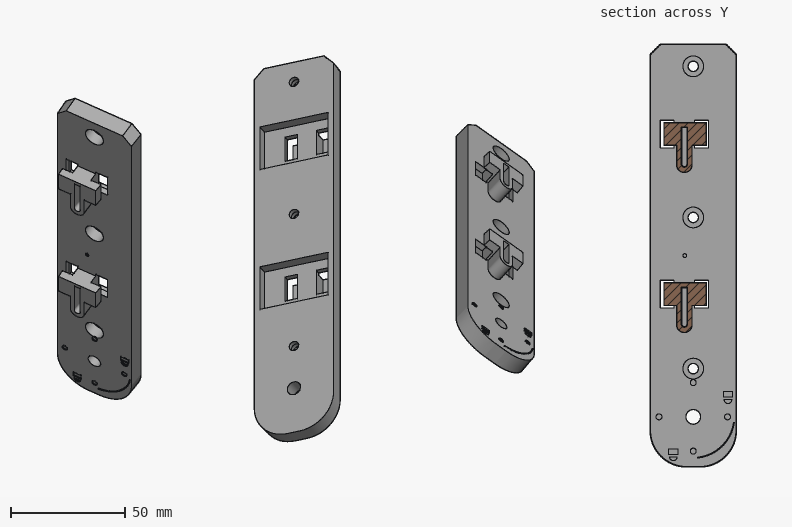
import cadquery as cq
import math

plate_length = 185.0
plate_width = 38.0
plate_thickness = 8.0
plate_draft = 2.0
top_chamfer = 4.6
bottom_corner_radius = 16.1

screw_hole_diameter = 4.5
screw_head_diameter = 9.0
screw_head_depth = 5.5
lowest_screw_z = 43.1
screw_pitch = 66.0
screw_count = 3

pivot_z = 22.0
pivot_diameter = 6.3
dimple_circle_radius = 15.0
dimple_diameter = 2.5
dimple_count = 4
groove_radius = 18.0
groove_width = 0.4
groove_start_angle = -84.0
groove_end_angle = -8.0
mark_depth = 0.5

locating_hole_diameter = 1.7
locating_hole_x = -3.7
locating_hole_z = plate_length / 2

mark_width = 4.0
mark_height = 2.4
mark_disc_radius = 1.7
mark_gap = 1.1
mark_positions = [(15.2, 31.8), (-8.7, 6.8)]

hook_x = -3.9
lower_hook_z = 75.7
hook_pitch = 70.0
hook_count = 2
hook_reach = 8.3
head_width = 19.2
head_front_width = 18.7
head_height = 10.0
head_left_thickness = 3.7
head_right_thickness = 4.3
neck_width = 9.0
stem_width = 6.8
stem_drop = 16.8
slot_width = 3.0
slot_top = 3.1
slot_bottom = -14.6
slot_depth = 7.4
slot_draft = 3.0
window_width = 20.9
window_height = 12.0

front_wall = 2.8
recess_width = 32.5
recess_height = 21.3


def front_plane(x, z, y=0.0):
    """Sketch plane parallel to the front face, with its normal pointing to -Y."""
    return cq.Workplane(cq.Plane(origin=(x, y, z), xDir=(1, 0, 0), normal=(0, -1, 0)))


def make_plate():
    half_width = plate_width / 2
    corner_middle = bottom_corner_radius * math.sin(math.radians(45))
    corner_x = half_width - bottom_corner_radius
    corner_z = bottom_corner_radius
    return (
        front_plane(0, 0, plate_thickness)
        .moveTo(-corner_x, 0)
        .lineTo(corner_x, 0)
        .threePointArc((corner_x + corner_middle, corner_z - corner_middle), (half_width, corner_z))
        .lineTo(half_width, plate_length - top_chamfer)
        .lineTo(half_width - top_chamfer, plate_length)
        .lineTo(top_chamfer - half_width, plate_length)
        .lineTo(-half_width, plate_length - top_chamfer)
        .lineTo(-half_width, corner_z)
        .threePointArc((-corner_x - corner_middle, corner_z - corner_middle), (-corner_x, 0))
        .close()
        .extrude(plate_thickness, taper=plate_draft)
    )


def cut_screw_holes(plate):
    for index in range(screw_count):
        z = lowest_screw_z + index * screw_pitch
        drill = front_plane(0, z).circle(screw_hole_diameter / 2).extrude(-plate_thickness)
        counterbore = front_plane(0, z).circle(screw_head_diameter / 2).extrude(-screw_head_depth)
        plate = plate.cut(drill).cut(counterbore)
    return plate


def cut_pivot_features(plate):
    plate = plate.cut(front_plane(0, pivot_z).circle(pivot_diameter / 2).extrude(-plate_thickness))
    dimples = (
        front_plane(0, pivot_z)
        .polarArray(dimple_circle_radius, 0, 360, dimple_count)
        .circle(dimple_diameter / 2)
        .extrude(-mark_depth)
    )
    return plate.cut(dimples).cut(make_arc_groove())


def make_arc_groove():
    def polar(radius, angle):
        turn = math.radians(angle)
        return radius * math.cos(turn), radius * math.sin(turn)

    inner = groove_radius - groove_width / 2
    outer = groove_radius + groove_width / 2
    middle_angle = (groove_start_angle + groove_end_angle) / 2
    return (
        front_plane(0, pivot_z)
        .moveTo(*polar(inner, groove_start_angle))
        .threePointArc(polar(inner, middle_angle), polar(inner, groove_end_angle))
        .lineTo(*polar(outer, groove_end_angle))
        .threePointArc(polar(outer, middle_angle), polar(outer, groove_start_angle))
        .close()
        .extrude(-mark_depth)
    )


def cut_marks(plate):
    hole = front_plane(locating_hole_x, locating_hole_z)
    plate = plate.cut(hole.circle(locating_hole_diameter / 2).extrude(-mark_depth))
    disc_z = -mark_height / 2 - mark_gap
    for x, z in mark_positions:
        rectangle = front_plane(x, z).rect(mark_width, mark_height).extrude(-mark_depth)
        half_disc = (
            front_plane(x, z)
            .moveTo(-mark_disc_radius, disc_z)
            .threePointArc((0, disc_z - mark_disc_radius), (mark_disc_radius, disc_z))
            .close()
            .extrude(-mark_depth)
        )
        plate = plate.cut(rectangle).cut(half_disc)
    return plate


def make_hook(z):
    head_section = [
        (-head_width / 2, head_left_thickness - hook_reach),
        (head_width / 2, head_right_thickness - hook_reach),
        (head_front_width / 2, -hook_reach),
        (-head_front_width / 2, -hook_reach),
    ]
    head = (
        cq.Workplane("XY", origin=(hook_x, 0, z - head_height / 2))
        .polyline(head_section)
        .close()
        .extrude(head_height)
    )
    neck = front_plane(hook_x, z).rect(neck_width, head_height).extrude(hook_reach - head_left_thickness)
    stem_radius = stem_width / 2
    arc_z = stem_radius - stem_drop
    stem = (
        front_plane(hook_x, z)
        .moveTo(-stem_radius, 0)
        .lineTo(-stem_radius, arc_z)
        .threePointArc((0, -stem_drop), (stem_radius, arc_z))
        .lineTo(stem_radius, 0)
        .close()
        .extrude(hook_reach)
    )
    return head.union(neck).union(stem)


def make_hook_slot(z):
    slot_radius = slot_width / 2
    arc_z = slot_bottom + slot_radius
    return (
        front_plane(hook_x, z, -hook_reach)
        .moveTo(-slot_radius, slot_top)
        .lineTo(-slot_radius, arc_z)
        .threePointArc((0, slot_bottom), (slot_radius, arc_z))
        .lineTo(slot_radius, slot_top)
        .close()
        .extrude(-slot_depth, taper=slot_draft)
    )


def make_hook_openings(z):
    """Windows either side of the neck, opening into a recess in the back of the plate."""
    window = front_plane(hook_x, z).rect(window_width, window_height).extrude(-front_wall)
    bridge = front_plane(hook_x, z).rect(neck_width, window_height).extrude(-front_wall)
    recess = (
        front_plane(0, z, front_wall)
        .rect(recess_width, recess_height)
        .extrude(front_wall - plate_thickness)
    )
    return window.cut(bridge).union(recess)


result = cut_marks(cut_pivot_features(cut_screw_holes(make_plate())))
for hook_index in range(hook_count):
    hook_z = lower_hook_z + hook_index * hook_pitch
    result = result.cut(make_hook_openings(hook_z))
    result = result.union(make_hook(hook_z)).cut(make_hook_slot(hook_z))